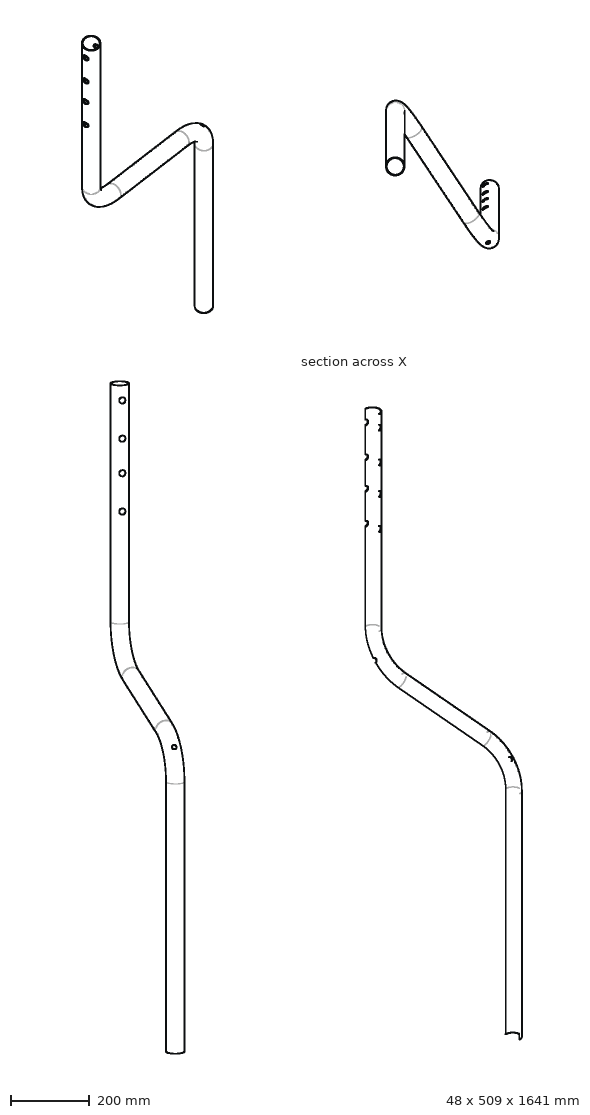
import cadquery as cq
import math

outer_diameter = 48.0
inner_diameter = 43.0

total_height = 1641.0
total_depth = 509.0

lower_leg_length = 705.0
arm_slope = math.radians(15.0)
bend_radius = 123.0
bend_angle = math.pi / 2 - arm_slope

cross_hole_diameter = 16.0
bend_hole_diameter = 12.0
top_hole_offset = 40.0
outer_hole_spacing = 100.0
middle_hole_spacing = 90.0

leg_y = (total_depth - outer_diameter) / 2
bend_run = bend_radius * (1 - math.cos(bend_angle))
bend_rise = bend_radius * math.sin(bend_angle)
arm_run = 2 * (leg_y - bend_run)
arm_rise = arm_run * math.tan(arm_slope)
lower_bend_z = lower_leg_length
upper_bend_z = lower_bend_z + 2 * bend_rise + arm_rise


def bend_point(side, angle, radius=bend_radius):
    """Point (y, z) on the lower (side = 1) or upper (side = -1) bend."""
    centre_y = side * (leg_y - bend_radius)
    centre_z = lower_bend_z if side > 0 else upper_bend_z
    return (
        centre_y + side * radius * math.cos(angle),
        centre_z + side * radius * math.sin(angle),
    )


def centre_line():
    half_bend = bend_angle / 2
    return (
        cq.Workplane("YZ")
        .moveTo(leg_y, 0)
        .lineTo(leg_y, lower_bend_z)
        .threePointArc(bend_point(1, half_bend), bend_point(1, bend_angle))
        .lineTo(*bend_point(-1, bend_angle))
        .threePointArc(bend_point(-1, half_bend), (-leg_y, upper_bend_z))
        .lineTo(-leg_y, total_height)
    )


def swept_rod(diameter):
    section = cq.Workplane("XY").center(0, leg_y).circle(diameter / 2)
    return section.sweep(centre_line())


def cross_hole(z):
    """Cutter along Y through both walls of the upper leg."""
    start = cq.Vector(0, -leg_y - outer_diameter, z)
    return cq.Solid.makeCylinder(
        cross_hole_diameter / 2, 2 * outer_diameter, start, cq.Vector(0, 1, 0)
    )


def bend_hole(side):
    """Radial cutter through the outer wall at the middle of a bend."""
    angle = bend_angle / 2
    y, z = bend_point(side, angle)
    direction = cq.Vector(0, side * math.cos(angle), side * math.sin(angle))
    return cq.Solid.makeCylinder(
        bend_hole_diameter / 2, outer_diameter, cq.Vector(0, y, z), direction
    )


result = swept_rod(outer_diameter).cut(swept_rod(inner_diameter))

hole_z = total_height - top_hole_offset
for step_down in (0, outer_hole_spacing, middle_hole_spacing, outer_hole_spacing):
    hole_z -= step_down
    result = result.cut(cross_hole(hole_z))

for bend_side in (1, -1):
    result = result.cut(bend_hole(bend_side))